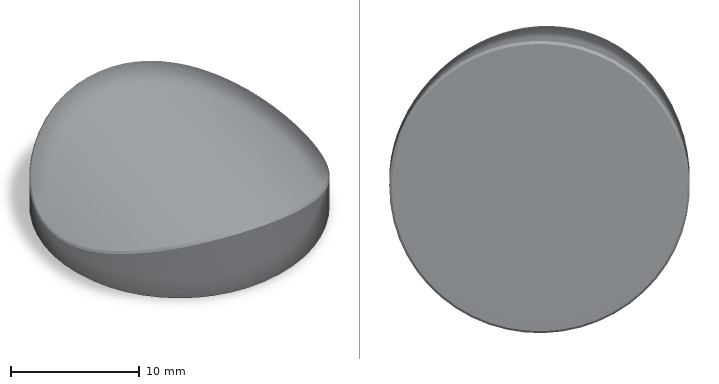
import math

import cadquery as cq

diameter = 23.4
center_thickness = 6.0
surface_radius = 20.7
bevel = 0.2

blank_radius = diameter / 2
axis_height = center_thickness - surface_radius

bevel_spline_points = 72
cutter_overlap = 1.0
apex_reach = 2.0


def round_blank():
    """Disc with its bottom rim chamfered."""
    disc = cq.Workplane("XY").circle(blank_radius).extrude(center_thickness)
    return disc.faces("<Z").edges().chamfer(bevel)


def curved_top_envelope():
    """Cylinder along X whose crest touches the top of the blank at Y = 0."""
    return (
        cq.Workplane("YZ")
        .center(0, axis_height)
        .circle(surface_radius)
        .extrude(diameter, both=True)
    )


def bevel_section(angle):
    """Corners of the triangle that the top bevel removes at one angle around the rim.

    A ball of radius `bevel` rolling inside the rim touches the wall and the curved
    surface; the bevel is the straight line between the two contact points.
    """
    ball_path_radius = blank_radius - bevel
    ball_arc_radius = surface_radius - bevel
    ball_x = ball_path_radius * math.cos(angle)
    ball_y = ball_path_radius * math.sin(angle)
    ball_rise = math.sqrt(ball_arc_radius**2 - ball_y**2)
    ball = cq.Vector(ball_x, ball_y, axis_height + ball_rise)

    wall_contact = cq.Vector(
        blank_radius * math.cos(angle), blank_radius * math.sin(angle), ball.z
    )
    outward = surface_radius / ball_arc_radius
    surface_contact = cq.Vector(ball_x, ball_y * outward, axis_height + ball_rise * outward)

    extension = (surface_contact - wall_contact) * cutter_overlap
    bevel_middle = (wall_contact + surface_contact) * 0.5
    apex = bevel_middle + (bevel_middle - ball) * apex_reach
    return wall_contact - extension, surface_contact + extension, apex


def top_bevel_cutter():
    """Ring of triangular section following the wavy top rim."""
    parameters = [i / bevel_spline_points for i in range(bevel_spline_points + 1)]
    sections = [bevel_section(2 * math.pi * t) for t in parameters[:-1]]
    rails = [
        cq.Edge.makeSpline(list(points), parameters=parameters, periodic=True)
        for points in zip(*sections)
    ]
    wall_rail, surface_rail, apex_rail = rails
    sides = [
        cq.Face.makeRuledSurface(wall_rail, surface_rail),
        cq.Face.makeRuledSurface(surface_rail, apex_rail),
        cq.Face.makeRuledSurface(apex_rail, wall_rail),
    ]
    ring = cq.Solid.makeSolid(cq.Shell.makeShell(sides)).fix()
    return cq.Workplane("XY").newObject([ring])


lens = round_blank().intersect(curved_top_envelope())
result = lens.cut(top_bevel_cutter()).solids()